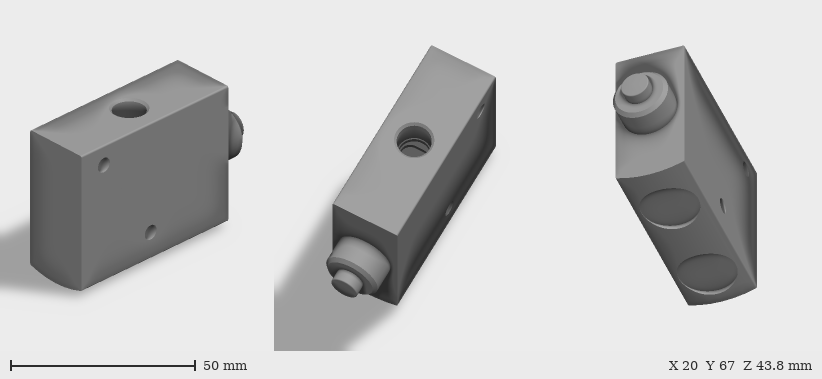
import cadquery as cq

body_width = 20.0
body_length = 55.0
body_height = 43.75
body_top = 21.0
body_bottom = body_top - body_height
belly_rise = 1.75
edge_radius = 0.55

collar_diameter = 15.95
collar_length = 8.25
collar_chamfer = 1.0
total_length = 67.0
plunger_diameter = 8.0
dome_height = 0.3
plunger_edge_radius = 0.3

cross_hole_diameter = 4.4
cross_hole_centers = [
    (8.4, body_top - 6.0),
    (25.9, body_top - 34.05),
]

port_y = body_length / 2
port_mouth_diameter = 10.9
port_diameter = 9.5
port_bevel = (port_mouth_diameter - port_diameter) / 2
port_depth = 8.05
port_bore_diameter = 8.85
port_bore_depth = 9.4
slot_length = 8.0
slot_width = 5.6
slot_depth = 1.35

spotface_diameter = 16.5
spotface_depth = 1.35
spotface_y_positions = (11.6, 39.9)


def make_body():
    """Block with a convex underside and rounded long edges."""
    half_width = body_width / 2
    side_bottom = body_bottom + belly_rise
    profile = (
        cq.Workplane("XZ")
        .moveTo(-half_width, side_bottom)
        .threePointArc((0, body_bottom), (half_width, side_bottom))
        .lineTo(half_width, body_top)
        .lineTo(-half_width, body_top)
        .close()
    )
    return profile.extrude(-body_length).edges("|Y").fillet(edge_radius)


def make_collar():
    """Chamfered collar starting at the back face."""
    back_face = cq.Workplane("XZ", origin=(0, body_length, 0))
    collar = back_face.circle(collar_diameter / 2).extrude(-collar_length)
    return collar.faces(">Y").chamfer(collar_chamfer)


def make_plunger():
    """Domed pin revolved about the Y axis."""
    radius = plunger_diameter / 2
    shoulder_y = total_length - dome_height
    dome_radius = (radius**2 + dome_height**2) / (2 * dome_height)
    mid_radius = radius / 2
    mid_y = total_length - dome_radius + (dome_radius**2 - mid_radius**2) ** 0.5
    pin = (
        cq.Workplane("XY")
        .moveTo(0, body_length)
        .lineTo(radius, body_length)
        .lineTo(radius, shoulder_y)
        .threePointArc((mid_radius, mid_y), (0, total_length))
        .close()
        .revolve(360, (0, 0, 0), (0, 1, 0))
    )
    return pin.faces("%CYLINDER").edges(">Y").fillet(plunger_edge_radius)


def make_cross_holes():
    """Cylinders running through the full width."""
    return (
        cq.Workplane("YZ", origin=(-body_width / 2, 0, 0))
        .pushPoints(cross_hole_centers)
        .circle(cross_hole_diameter / 2)
        .extrude(body_width)
    )


def make_port():
    """Bevelled port with a narrower bore and a slot in its floor."""
    mouth = cq.Workplane("XY", origin=(0, port_y, body_top))
    bevel = mouth.circle(port_mouth_diameter / 2).extrude(-port_bevel, taper=45)
    thread = mouth.circle(port_diameter / 2).extrude(-port_depth)
    bore = mouth.circle(port_bore_diameter / 2).extrude(-port_bore_depth)
    slot = mouth.slot2D(slot_length, slot_width).extrude(-port_bore_depth - slot_depth)
    return bevel.union(thread).union(bore).union(slot)


def make_spotfaces():
    """Flat round recesses along the underside."""
    return (
        cq.Workplane("XY", origin=(0, 0, body_bottom))
        .pushPoints([(0, y) for y in spotface_y_positions])
        .circle(spotface_diameter / 2)
        .extrude(spotface_depth)
    )


result = (
    make_body()
    .union(make_collar())
    .union(make_plunger())
    .cut(make_cross_holes())
    .cut(make_port())
    .cut(make_spotfaces())
)